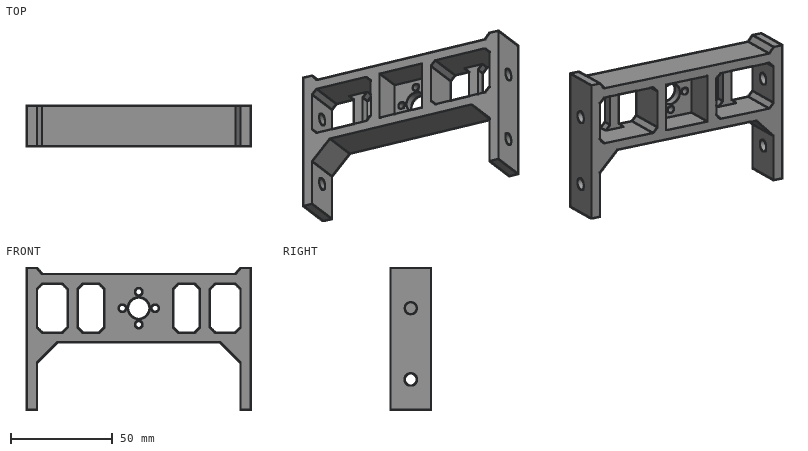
import cadquery as cq

width = 110.0
depth = 20.0
height = 69.7

leg_thickness = 5.1
beam_bottom = 33.1
beam_top = 66.8
brace_size = 10.0
lug_chamfer = 2.5
half_width = width / 2
leg_inside = half_width - leg_thickness

window_height = 23.9
window_chamfer = 2.5
outer_window_width = 15.0
inner_window_width = 13.0
window_rib = 5.1
inner_window_start = leg_inside - outer_window_width - window_rib - inner_window_width

plate_thickness = 5.0
pocket_wall = 5.1
front_y = -depth / 2
plate_back_y = front_y + plate_thickness

mount_z = (beam_bottom + beam_top) / 2
shaft_diameter = 10.5
screw_diameter = 3.5
screw_radius = 8.0

side_hole_diameter = 5.9
side_hole_heights = (15.0, 49.9)


def make_frame():
    right_side = [
        (leg_inside - brace_size, beam_bottom),
        (leg_inside, beam_bottom - brace_size),
        (leg_inside, 0),
        (half_width, 0),
        (half_width, height),
        (leg_inside, height),
        (leg_inside - lug_chamfer, beam_top),
    ]
    left_side = [(-x, z) for x, z in reversed(right_side)]
    return (
        cq.Workplane("XZ")
        .polyline(right_side + left_side)
        .close()
        .extrude(depth / 2, both=True)
    )


def make_opening(x_start, x_end, y_front, corner_chamfer=0):
    """Window-high block from y_front to the back face, with optional chamfered corners."""
    opening = cq.Workplane("XY").box(x_end - x_start, depth / 2 - y_front, window_height)
    if corner_chamfer:
        opening = opening.edges("|Y").chamfer(corner_chamfer)
    return opening.translate(((x_start + x_end) / 2, (y_front + depth / 2) / 2, mount_z))


def cut_windows_and_side_pockets(body):
    outer_window_start = leg_inside - outer_window_width
    inner_window_end = outer_window_start - window_rib
    outer_window = make_opening(outer_window_start, leg_inside, front_y, window_chamfer)
    inner_window = make_opening(inner_window_start, inner_window_end, front_y, window_chamfer)
    pocket = make_opening(inner_window_start, leg_inside, plate_back_y, window_chamfer)
    for opening in (outer_window, inner_window, pocket):
        body = body.cut(opening)
        body = body.cut(opening.mirror("YZ"))
    return body


def cut_center_pocket(body):
    half_pocket = inner_window_start - pocket_wall
    return body.cut(make_opening(-half_pocket, half_pocket, plate_back_y))


def cut_motor_mount(body):
    mount = cq.Workplane("XZ", origin=(0, 0, mount_z))
    shaft = mount.circle(shaft_diameter / 2).extrude(depth, both=True)
    screws = (
        mount.polarArray(screw_radius, 0, 360, 4)
        .circle(screw_diameter / 2)
        .extrude(depth, both=True)
    )
    return body.cut(shaft).cut(screws)


def cut_side_holes(body):
    for z in side_hole_heights:
        for x_start in (-half_width, leg_inside):
            hole = (
                cq.Workplane("YZ", origin=(x_start, 0, z))
                .circle(side_hole_diameter / 2)
                .extrude(leg_thickness)
            )
            body = body.cut(hole)
    return body


result = make_frame()
result = cut_windows_and_side_pockets(result)
result = cut_center_pocket(result)
result = cut_motor_mount(result)
result = cut_side_holes(result)